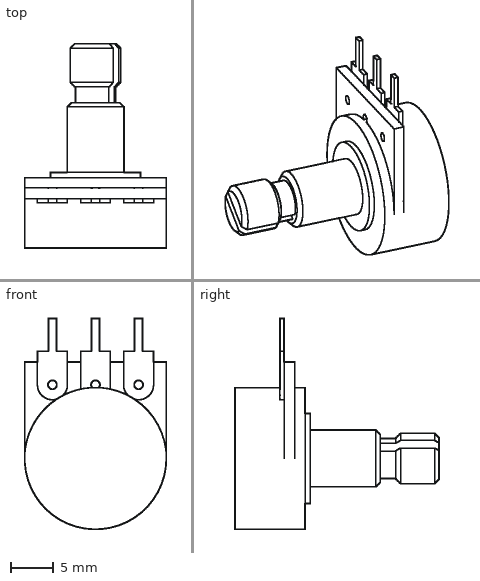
import cadquery as cq


body_diameter = 16.75
body_radius = body_diameter / 2
body_end = 8.3
collar_diameter = 10.67
collar_end = 8.93
bushing_diameter = 6.73
bushing_end = 17.18
bushing_chamfer = 0.52
neck_diameter = 4.75
head_diameter = 5.99
head_start = 19.03
head_chamfer = 0.55
shaft_end = 24.15

slot_width = 1.1
slot_angle = 35

plate_rear = 5.84
plate_thickness = 1.27
plate_top = 19.8

terminal_count = 3
terminal_pitch = 5.1
terminal_width = 3.55
terminal_thickness = 0.5
terminal_shoulder = 21.05
hole_height = 17.08
hole_diameter = 1.02
pin_width = 0.97
pin_top = 24.95


def cylinder(diameter, start, end):
    """Solid cylinder on the shaft axis between two Y positions."""
    plane = cq.Plane(origin=(0, start, body_radius), xDir=(1, 0, 0), normal=(0, 1, 0))
    return cq.Workplane(plane).circle(diameter / 2).extrude(end - start)


def block(width, bottom, top, rear, thickness, center_x=0):
    """Box centred on center_x, given by its Z range and its rear Y position."""
    return (
        cq.Workplane("XY")
        .box(width, thickness, top - bottom, centered=(True, False, False))
        .translate((center_x, rear, bottom))
    )


def round_disc(diameter, center_x, rear, thickness):
    """Disc at the terminal hole position with its axis along Y."""
    plane = cq.Plane(origin=(center_x, rear, hole_height), xDir=(1, 0, 0), normal=(0, 1, 0))
    return cq.Workplane(plane).circle(diameter / 2).extrude(thickness)


def make_shaft():
    """Necked shaft tip with a chamfered head and a slot through its full diameter."""
    neck = cylinder(neck_diameter, bushing_end, head_start)
    head = cylinder(head_diameter, head_start, shaft_end).edges("%CIRCLE").chamfer(head_chamfer)
    slot = (
        cq.Workplane("XY")
        .box(head_diameter * 2, shaft_end - bushing_end, slot_width, centered=(True, False, True))
        .rotate((0, 0, 0), (0, 1, 0), -slot_angle)
        .translate((0, bushing_end, body_radius))
    )
    return neck.union(head).cut(slot)


def make_terminal(center_x):
    """Flat lug with a rounded lower end and a narrow pin on top."""
    rear = plate_rear - terminal_thickness
    lug = block(terminal_width, hole_height, terminal_shoulder, rear, terminal_thickness, center_x)
    round_end = round_disc(terminal_width, center_x, rear, terminal_thickness)
    pin = block(pin_width, terminal_shoulder, pin_top, rear, terminal_thickness, center_x)
    return lug.union(round_end).union(pin)


terminal_board = block(body_diameter, body_radius, plate_top, plate_rear, plate_thickness)
for index in range(terminal_count):
    terminal_x = (index - (terminal_count - 1) / 2) * terminal_pitch
    hole = round_disc(
        hole_diameter, terminal_x, plate_rear - terminal_thickness, terminal_thickness + plate_thickness
    )
    terminal_board = terminal_board.union(make_terminal(terminal_x)).cut(hole)

body = cylinder(body_diameter, 0, body_end)
collar = cylinder(collar_diameter, body_end, collar_end)
bushing = cylinder(bushing_diameter, collar_end, bushing_end).faces(">Y").chamfer(bushing_chamfer)

result = body.union(collar).union(bushing).union(make_shaft()).union(terminal_board)